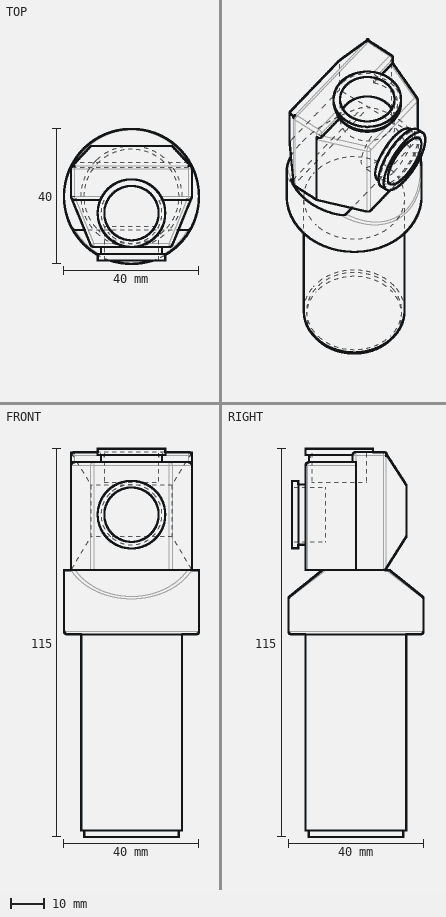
import cadquery as cq

total_height = 115.0
foot_radius = 14.0
foot_height = 2.0
shank_radius = 15.0
collar_radius = 20.0
collar_bottom = 60.0
collar_top = 79.0
collar_flat_half = 10.0
collar_slope_drop = 8.0
rim_radius = 0.9

select_slack = 0.1
select_margin = 1.2

edge_radius = 1.0
head_half_width = 17.9
head_front_half_width = 11.8
head_front = -15.0
head_taper_start = 0.0
head_back = 8.6
head_top = 114.0
step_top = 111.0
step_wall = head_taper_start - edge_radius

boss_back = 15.0
boss_end_half_width = 12.0
boss_end_bottom = 89.0
boss_end_top = 104.2

port_flange_radius = 10.0
port_neck_radius = 9.0
port_bore_radius = 8.0
port_flange_thickness = 2.0
port_bore_depth = 10.0
top_port_y = -5.0
front_port_z = 95.5
front_port_end = -19.0


def cylinder(radius, bottom, top):
    return cq.Workplane("XY").workplane(offset=bottom).circle(radius).extrude(top - bottom)


def make_collar():
    """Collar with its upper front and back sloped away, all rims rounded."""
    collar = cylinder(collar_radius, collar_bottom, collar_top)
    slope_foot = collar_top - collar_slope_drop
    gable = (
        cq.Workplane("YZ")
        .moveTo(-collar_radius, collar_bottom)
        .lineTo(collar_radius, collar_bottom)
        .lineTo(collar_radius, slope_foot)
        .lineTo(collar_flat_half, collar_top)
        .lineTo(-collar_flat_half, collar_top)
        .lineTo(-collar_radius, slope_foot)
        .close()
        .extrude(collar_radius, both=True)
    )
    collar = collar.intersect(gable).faces("<Z").edges().fillet(rim_radius)
    above_slope_foot = cq.selectors.BoxSelector(
        (-collar_radius, -collar_radius - select_margin, slope_foot - select_margin),
        (collar_radius, collar_radius + select_margin, collar_top - select_slack),
    )
    return collar.edges(above_slope_foot).edges("not |Z").fillet(rim_radius)


def make_boss():
    """Four-sided frustum narrowing toward the back."""
    base_height = head_top - collar_top
    end_height = boss_end_top - boss_end_bottom
    base_middle = (head_top + collar_top) / 2
    end_middle = (boss_end_top + boss_end_bottom) / 2
    return (
        cq.Workplane("XZ", origin=(0, head_back, base_middle))
        .rect(2 * head_half_width, base_height)
        .workplane(offset=head_back - boss_back)
        .center(0, end_middle - base_middle)
        .rect(2 * boss_end_half_width, end_height)
        .loft(ruled=True)
    )


def make_tapered_block():
    """Block narrowing toward the front, its front corners and top rims rounded."""
    block = (
        cq.Workplane("XY")
        .workplane(offset=collar_top)
        .moveTo(-head_half_width, head_taper_start)
        .lineTo(head_half_width, head_taper_start)
        .lineTo(head_front_half_width, head_front)
        .lineTo(-head_front_half_width, head_front)
        .close()
        .extrude(step_top - collar_top)
    )
    block = block.edges("|Z and <Y").fillet(edge_radius)
    step_rim = cq.selectors.BoxSelector(
        (-head_half_width, head_front - select_margin, step_top - select_slack),
        (head_half_width, head_taper_start - select_margin, step_top + select_slack),
    )
    return block.edges(step_rim).fillet(edge_radius)


def make_head():
    """Tapered block, a taller block behind it with a rounded upper lip, and a boss on the back."""
    rear_block = (
        cq.Workplane("XY", origin=(0, head_taper_start, collar_top))
        .box(
            2 * head_half_width,
            head_back - head_taper_start,
            step_top - collar_top,
            centered=(True, False, False),
        )
    )
    upper_block = (
        cq.Workplane("XY", origin=(0, step_wall, step_top))
        .box(
            2 * head_half_width,
            head_back - step_wall,
            head_top - step_top,
            centered=(True, False, False),
        )
        .edges("|Z and <Y")
        .fillet(edge_radius)
    )
    head = rear_block.union(upper_block).union(make_boss())
    back_rims = cq.selectors.BoxSelector(
        (-head_half_width - select_margin, head_back - select_slack, collar_top + select_margin),
        (head_half_width + select_margin, head_back + select_slack, head_top + select_slack),
    )
    rims = head.edges(back_rims).add(head.faces(">Z").edges("not >Y"))
    return rims.fillet(edge_radius).union(make_tapered_block())


def add_port(body, mouth, neck_length):
    """Add a flanged neck whose mouth lies on the given plane, then bore it."""
    flange = mouth.circle(port_flange_radius).extrude(-port_flange_thickness)
    neck = mouth.circle(port_neck_radius).extrude(-neck_length)
    bore = mouth.circle(port_bore_radius).extrude(-port_bore_depth)
    return body.union(flange).union(neck).cut(bore)


result = (
    cylinder(foot_radius, 0, foot_height)
    .union(cylinder(shank_radius, foot_height, collar_bottom))
    .union(make_collar())
    .union(make_head())
)
top_mouth = cq.Workplane("XY", origin=(0, top_port_y, total_height))
result = add_port(result, top_mouth, total_height - step_top)
front_mouth = cq.Workplane("XZ", origin=(0, front_port_end, front_port_z))
result = add_port(result, front_mouth, head_front - front_port_end)